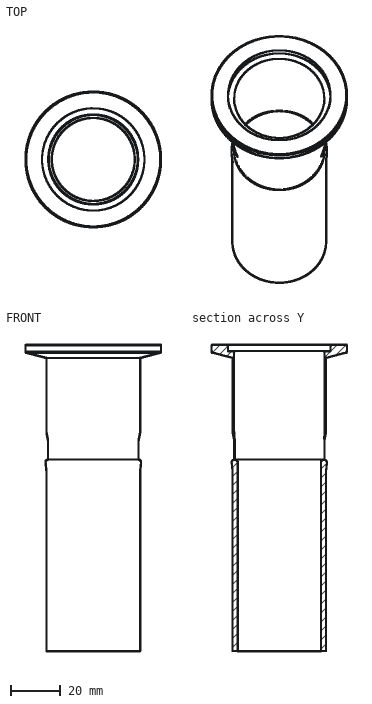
import cadquery as cq
import math

total_length = 123.8

flange_diameter = 54.9
flange_rim_height = 3.2
flange_taper_height = 2.1
flange_ledge = 0.5
rim_edge_chamfer = 0.4
recess_radius = 20.7
recess_depth = 2.6

tube_diameter = 38.0
sleeve_bore_radius = 18.2
neck_radius = 18.3
neck_bore_radius = 18.0
neck_taper_top = 88.5
neck_taper_height = 3.5

lower_bore_radius = 16.7
bead_radius = 19.3
bead_top = 77.4
bead_height = 1.1
bead_band_height = 0.5
bead_blend_bottom = 72.9
end_rounding = 0.4

flange_radius = flange_diameter / 2
tube_radius = tube_diameter / 2
neck_taper_bottom = neck_taper_top - neck_taper_height
bead_band_top = bead_top - bead_height
bead_band_bottom = bead_band_top - bead_band_height
shoulder_radius = neck_bore_radius - lower_bore_radius
shoulder_bottom = bead_top - shoulder_radius
flange_rim_bottom = total_length - flange_rim_height
flange_bottom = flange_rim_bottom - flange_taper_height
recess_floor = total_length - recess_depth


def revolve_half_section(section):
    """Turn a closed (radius, height) section once around the Z axis."""
    return section.close().revolve(360, (0, 0, 0), (0, 1, 0))


def outer_body():
    bead_mid = (
        neck_radius + (bead_radius - neck_radius) * math.sin(math.pi / 4),
        bead_band_top + bead_height * math.sin(math.pi / 4),
    )
    section = (
        cq.Workplane("XZ")
        .lineTo(tube_radius, 0)
        .lineTo(tube_radius, bead_blend_bottom)
        .lineTo(bead_radius, bead_band_bottom)
        .lineTo(bead_radius, bead_band_top)
        .threePointArc(bead_mid, (neck_radius, bead_top))
        .lineTo(neck_radius, neck_taper_bottom)
        .lineTo(tube_radius, neck_taper_top)
        .lineTo(tube_radius, flange_bottom)
        .lineTo(tube_radius + flange_ledge, flange_bottom)
        .lineTo(flange_radius, flange_rim_bottom)
        .lineTo(flange_radius, total_length)
        .lineTo(0, total_length)
    )
    return revolve_half_section(section)


def inner_cavity():
    shoulder_mid = (
        lower_bore_radius + shoulder_radius * (1 - math.cos(math.pi / 4)),
        shoulder_bottom + shoulder_radius * math.sin(math.pi / 4),
    )
    section = (
        cq.Workplane("XZ")
        .lineTo(lower_bore_radius, 0)
        .lineTo(lower_bore_radius, shoulder_bottom)
        .threePointArc(shoulder_mid, (neck_bore_radius, bead_top))
        .lineTo(neck_bore_radius, neck_taper_bottom)
        .lineTo(sleeve_bore_radius, neck_taper_top)
        .lineTo(sleeve_bore_radius, recess_floor)
        .lineTo(recess_radius, recess_floor)
        .lineTo(recess_radius, total_length)
        .lineTo(0, total_length)
    )
    return revolve_half_section(section)


def soften_ends(body):
    """Chamfer both edges of the flange rim and round the foot of the tube."""
    flange_rim_edges = (
        body.faces(">Z").edges()
        .add(body.edges(cq.selectors.RadiusNthSelector(-1)))
    )
    body = flange_rim_edges.chamfer(rim_edge_chamfer)
    return body.faces("<Z").edges().fillet(end_rounding)


result = soften_ends(outer_body()).cut(inner_cavity())